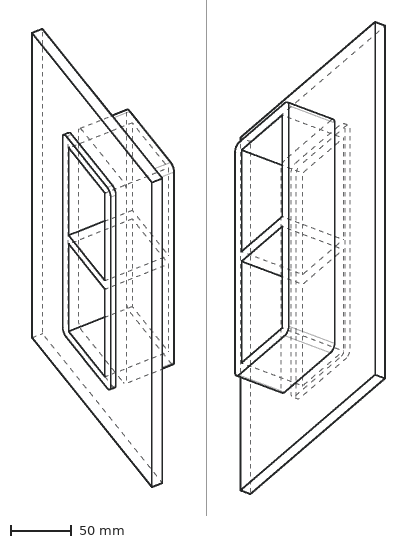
import cadquery as cq

plate_width = 200.5
plate_height = 352.0
plate_thickness = 10.0

sleeve_width = 80.3
sleeve_height = 232.0
sleeve_depth = 60.0
sleeve_corner_radius = 6.0
front_projection = 5.0

wall = 10.0
opening_count = 2
opening_width = sleeve_width - 2 * wall
opening_height = (sleeve_height - (opening_count + 1) * wall) / opening_count
opening_pitch = opening_height + wall


def upright_block(width, depth, height, front_y):
    """Block centred on X and Z, with its front face at front_y."""
    return cq.Workplane("XY").box(width, depth, height).translate((0, front_y + depth / 2, 0))


plate = upright_block(plate_width, plate_thickness, plate_height, 0)

sleeve = upright_block(sleeve_width, sleeve_depth, sleeve_height, -front_projection)
sleeve = sleeve.edges("|Y").fillet(sleeve_corner_radius)

result = plate.union(sleeve)

opening = upright_block(opening_width, sleeve_depth, opening_height, -front_projection)
for index in range(opening_count):
    center_z = (index - (opening_count - 1) / 2) * opening_pitch
    result = result.cut(opening.translate((0, 0, center_z)))